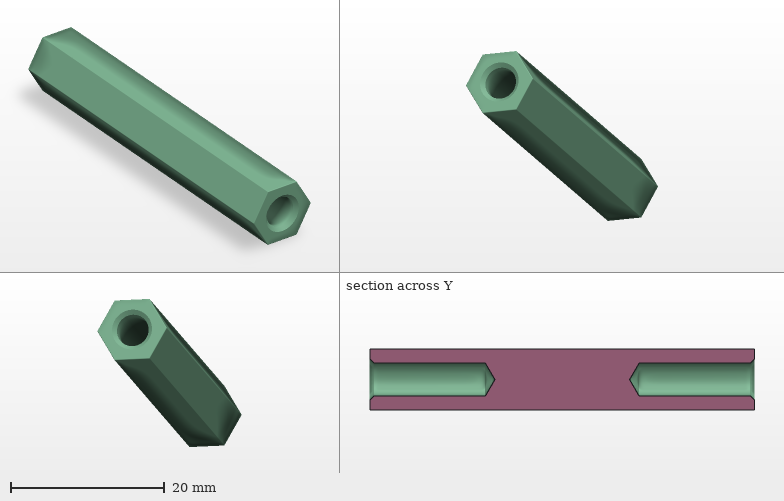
import cadquery as cq
import math


length = 50.0
hexagon_sides = 6
across_flats = 8.0
across_corners = across_flats / math.cos(math.pi / hexagon_sides)
edge_radius = 0.1

hole_diameter = 4.2
hole_depth = 15.0
drill_point_angle = 120.0
mouth_diameter = 5.3
countersink_angle = 90.0


def cone_height(radial_step, included_angle):
    """Axial length of a cone that changes radius by radial_step."""
    return radial_step / math.tan(math.radians(included_angle / 2))


def hexagonal_bar():
    """Bar centred on the origin, flats facing +Z and -Z, all edges rounded."""
    bar = cq.Workplane("YZ").polygon(hexagon_sides, across_corners).extrude(length / 2, both=True)
    return bar.edges().fillet(edge_radius)


def drilled_hole():
    """Solid to cut from the -X end: countersink, bore and drill point."""
    hole_radius = hole_diameter / 2
    mouth_radius = mouth_diameter / 2
    mouth_x = -length / 2
    bore_start_x = mouth_x + cone_height(mouth_radius - hole_radius, countersink_angle)
    bore_end_x = mouth_x + hole_depth
    tip_x = bore_end_x + cone_height(hole_radius, drill_point_angle)
    half_profile = (
        cq.Workplane("XY")
        .moveTo(mouth_x, 0)
        .lineTo(mouth_x, mouth_radius)
        .lineTo(bore_start_x, hole_radius)
        .lineTo(bore_end_x, hole_radius)
        .lineTo(tip_x, 0)
        .close()
    )
    return half_profile.revolve(axisStart=(0, 0, 0), axisEnd=(1, 0, 0))


near_hole = drilled_hole()
far_hole = near_hole.mirror("YZ")
result = hexagonal_bar().cut(near_hole).cut(far_hole)